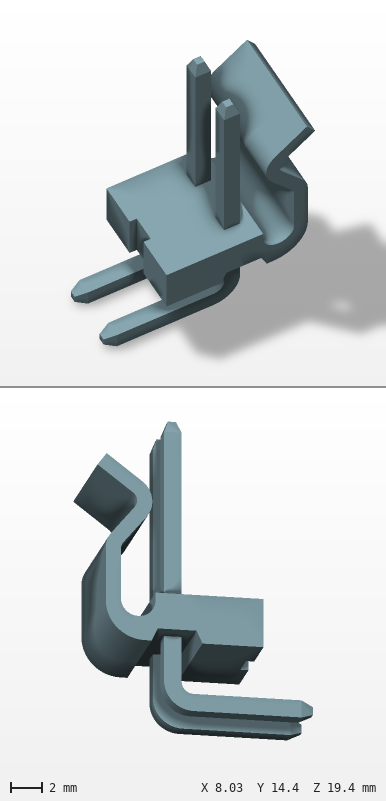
import cadquery as cq
import math


width = 8.03
block_height = 3.23
block_depth = 7.02
key_slot_width = 1.87
key_slot_depth = 0.53

groove_front = 3.97
groove_back = 7.27
groove_height = 0.84
groove_taper = 0.39

arm_thickness = 1.0
channel_radius = 1.13
channel_center_z = 2.72
root_radius = 2.53
arm_back = block_depth + 2 * channel_radius + arm_thickness
arm_front = arm_back - arm_thickness

lower_slope = math.radians(50)
hook_inner_radius = 0.66
hook_outer_radius = hook_inner_radius + arm_thickness
lower_bend_outer_radius = hook_outer_radius
lower_bend_inner_radius = hook_inner_radius
hook_center = (8.89, 9.32)
tip_slope = math.radians(37)
tip_length = 2.9

pin_size = 1.15
pin_pitch = 3.97
pin_back = 6.19
pin_bottom = -4.08
pin_top = 15.3
pin_front = -3.55
bend_inner_radius = 0.78
bend_outer_radius = bend_inner_radius + pin_size
taper_length = 0.8
taper_end_size = 0.53
second_pin_shift = (pin_pitch, -0.05, 0.05)


def on_circle(center, radius, angle):
    """Point on a circle in the YZ plane, with the angle measured from +Y towards +Z."""
    return (center[0] + radius * math.cos(angle), center[1] + radius * math.sin(angle))


def housing_profile():
    """Side outline of the block and latch arm, extruded across the full width."""
    lower_normal = math.pi / 2 - lower_slope
    tip_normal = math.pi / 2 + tip_slope
    lower_y = arm_back - lower_bend_outer_radius
    center_distance = lower_bend_outer_radius + hook_inner_radius
    rise = (center_distance - (hook_center[0] - lower_y) * math.cos(lower_normal)) / math.sin(lower_normal)
    lower_center = (lower_y, hook_center[1] - rise)

    hook_start = math.pi + lower_normal
    hook_middle = (hook_start + tip_normal) / 2
    tip_step = (tip_length * math.cos(tip_slope), tip_length * math.sin(tip_slope))
    hook_tip_inner = on_circle(hook_center, hook_inner_radius, tip_normal)
    hook_tip_outer = on_circle(hook_center, hook_outer_radius, tip_normal)
    tip_inner = (hook_tip_inner[0] + tip_step[0], hook_tip_inner[1] + tip_step[1])
    tip_outer = (hook_tip_outer[0] + tip_step[0], hook_tip_outer[1] + tip_step[1])
    root_center = (arm_back - root_radius, root_radius)

    return (
        cq.Workplane("YZ", origin=(-width / 2, 0, 0))
        .moveTo(0, 0)
        .lineTo(groove_front, 0)
        .lineTo(groove_front + groove_taper, groove_height)
        .lineTo(groove_back - groove_taper, groove_height)
        .lineTo(groove_back, 0)
        .lineTo(root_center[0], 0)
        .threePointArc(on_circle(root_center, root_radius, -math.pi / 4), (arm_back, root_radius))
        .lineTo(arm_back, lower_center[1])
        .threePointArc(
            on_circle(lower_center, lower_bend_outer_radius, lower_normal / 2),
            on_circle(lower_center, lower_bend_outer_radius, lower_normal),
        )
        .lineTo(*on_circle(hook_center, hook_inner_radius, hook_start))
        .threePointArc(on_circle(hook_center, hook_inner_radius, hook_middle), hook_tip_inner)
        .lineTo(*tip_inner)
        .lineTo(*tip_outer)
        .lineTo(*hook_tip_outer)
        .threePointArc(
            on_circle(hook_center, hook_outer_radius, hook_middle),
            on_circle(hook_center, hook_outer_radius, hook_start),
        )
        .lineTo(*on_circle(lower_center, lower_bend_inner_radius, lower_normal))
        .threePointArc(
            on_circle(lower_center, lower_bend_inner_radius, lower_normal / 2),
            (arm_front, lower_center[1]),
        )
        .lineTo(arm_front, channel_center_z)
        .threePointArc(
            (arm_front - channel_radius, channel_center_z - channel_radius),
            (block_depth, channel_center_z),
        )
        .lineTo(block_depth, block_height)
        .lineTo(0, block_height)
        .close()
        .extrude(width)
    )


def tapered_end(plane):
    """Pyramid-shaped pin end growing along the normal of the plane."""
    return (
        cq.Workplane(plane)
        .rect(pin_size, pin_size)
        .workplane(offset=taper_length)
        .rect(taper_end_size, taper_end_size)
        .loft(ruled=True)
    )


def make_pin():
    """First pin: bent square wire with both ends tapered."""
    pin_x = -pin_pitch / 2
    center_y = pin_back - pin_size / 2
    center_z = pin_bottom + pin_size / 2
    shank_top = pin_top - taper_length
    shank_front = pin_front + taper_length
    bend_center = (pin_back - bend_outer_radius, pin_bottom + bend_outer_radius)

    wire = (
        cq.Workplane("YZ", origin=(pin_x - pin_size / 2, 0, 0))
        .moveTo(shank_front, pin_bottom)
        .lineTo(bend_center[0], pin_bottom)
        .threePointArc(
            on_circle(bend_center, bend_outer_radius, -math.pi / 4),
            (pin_back, bend_center[1]),
        )
        .lineTo(pin_back, shank_top)
        .lineTo(pin_back - pin_size, shank_top)
        .lineTo(pin_back - pin_size, bend_center[1])
        .threePointArc(
            on_circle(bend_center, bend_inner_radius, -math.pi / 4),
            (bend_center[0], pin_bottom + pin_size),
        )
        .lineTo(shank_front, pin_bottom + pin_size)
        .close()
        .extrude(pin_size)
    )
    top_plane = cq.Plane(origin=(pin_x, center_y, shank_top), xDir=(1, 0, 0), normal=(0, 0, 1))
    front_plane = cq.Plane(origin=(pin_x, shank_front, center_z), xDir=(1, 0, 0), normal=(0, -1, 0))
    return wire.union(tapered_end(top_plane)).union(tapered_end(front_plane))


def make_housing(pins):
    """Block with latch arm, key slot in the front face and a fitting hole for each pin."""
    key_slot = cq.Workplane("XY").box(
        key_slot_width, 2 * key_slot_depth, block_height, centered=(True, True, False)
    )
    housing = housing_profile().cut(key_slot)
    for pin in pins:
        housing = housing.cut(pin)
    return housing


pins = []
for index in range(2):
    shift = tuple(index * step for step in second_pin_shift)
    pins.append(make_pin().translate(shift))

housing = make_housing(pins)

result = cq.Compound.makeCompound([housing.solids().val(), *[pin.solids().val() for pin in pins]])